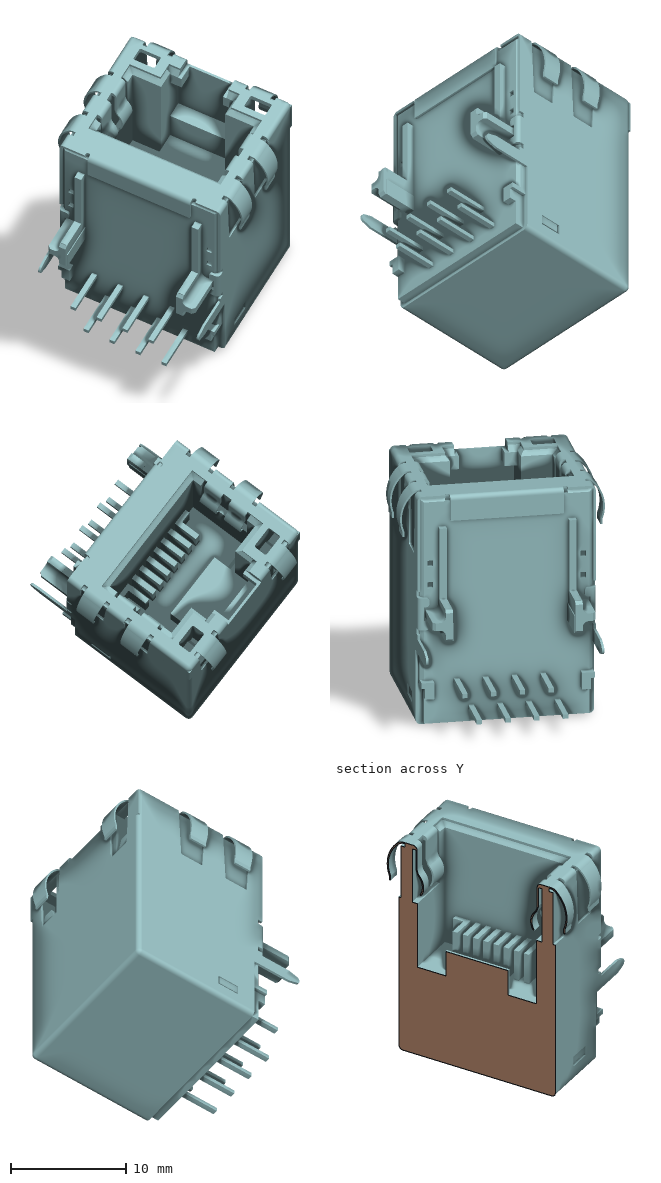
import cadquery as cq
import math


SHELL_HALF_WIDTH = 7.875
SHELL_DEPTH = 13.4
SHELL_HEIGHT = 21.35
SHELL_BEND = 0.43
SHEET = 0.22
PLATE = 0.25
CAVITY_BACK_Y = SHELL_DEPTH - SHEET
HOUSING_HALF_WIDTH = SHELL_HALF_WIDTH - SHEET
HOUSING_FACE_HALF_WIDTH = 7.33
HOUSING_BOTTOM_Z = 0.33
EDGE_CHAMFER_DEPTH = 0.28
HOUSING_FACE_TOP_Z = SHELL_HEIGHT - PLATE - EDGE_CHAMFER_DEPTH
LOWER_SHELL_FRONT_Y = 0.86
CORNER_TAB_BOTTOM_Z = 17.85
CORNER_TAB_TOP_Z = SHELL_HEIGHT - SHELL_BEND

LEG_BOTTOM_Z = 6.87
LEG_WIDTH = 1.27
LEG_TIP_Y = -4.03
LEG_TAPER_Y = -2.9
LEG_TIP_HALF_WIDTH = 0.4
LEG_TIP_LENGTH = 0.35

FOOT_BOTTOM_Z = 2.8
FOOT_STEP_Z = 3.82
FOOT_TOP_Z = 4.33
FOOT_INNER_X = 6.53
STANDOFF = 0.69

FLAP_HALF_WIDTH = 5.02
FLAP_BOTTOM_Z = 19.05
FLAP_ROOT_Y = 0.5
FLAP_CORNER = 0.1
FLAP_RELIEF_RADIUS = 0.2
FLAP_RELIEF_Y = 0.17

CLIP_CENTER_Z = 10.55
CLIP_HEIGHT = 2.96
CLIP_REACH_X = 6.88
CLIP_NECK_X = 7.34
CLIP_NECK_HEIGHT = 1.3
CLIP_LOBE_RADIUS = 0.25
CLIP_BEND = 0.36
CLIP_RELIEF_HEIGHT = 0.52
CLIP_RELIEF_DEPTH = 0.46

POST_OUTER_X = 6.06
POST_INNER_X = 5.41
POST_TIP_Y = -3.6
POST_CHAMFER = 0.26
RIB_TOP_Z = 18.54
ARM_TIP_X = 7.2
ARM_HALF_HEIGHT = 0.36
ARM_FILLET = 0.5
CRUSH_RIB_HEIGHT = 0.09
CRUSH_RIB_START_Y = -1.95
SIDE_RIB_TOP_Z = 10.7
SIDE_RIB_HEIGHT = 0.07

PIN_PITCH = 2.54
PIN_WIDTH = 0.48
PIN_THICKNESS = 0.4
PIN_TIP_Y = LEG_TIP_Y
PIN_ROW_UPPER_Z = 4.17
PIN_ROW_LOWER_Z = 1.66
PINS_PER_ROW = 4

FACE_HOLE_X = 6.77
FACE_HOLE_Z = (13.13, 15.12)
FACE_HOLE_WIDTH = 0.5
FACE_HOLE_HEIGHT = 0.56
FACE_HOLE_DEPTH = 0.5

WINDOW_FRONT_Y = 2.64
WINDOW_BACK_Y = 4.74
WINDOW_BOTTOM_Z = 1.44
WINDOW_TOP_Z = 2.43
WINDOW_GAP = 0.2
LATCH_RECESS = 0.08

OPENING_HALF_WIDTH = 6.48
OPENING_FRONT_Y = 2.71
OPENING_BACK_Y = 10.46
CAVITY_HALF_WIDTH = 5.95
CAVITY_FRONT_Y = 3.2
CAVITY_WALL_Y = 9.96
CAVITY_FLOOR_Z = 9.0
LEAD_IN_TOP_Z = SHELL_HEIGHT - PLATE
LEAD_IN_DEPTH = 0.36
SLOT_OPENING_HALF_WIDTH = 3.46
SLOT_OPENING_BACK_Y = 12.07
SLOT_HALF_WIDTH = 3.14
NOTCH_OPENING_HALF_WIDTH = 2.37
NOTCH_HALF_WIDTH = 2.03
NOTCH_SILL_Z = 20.53
LIP_FRONT_Y = 11.65
LIP_BOTTOM_Z = 19.3
LIP_LEAD_IN_DEPTH = 0.55
BACK_BLOCK_TOP_Z = 14.35
LATCH_BLOCK_FRONT_Y = 7.7
LATCH_BLOCK_TOP_Z = 11.5
LEDGE_FRONT_Y = 9.03
LEDGE_TOP_FRONT_Y = 9.37
LEDGE_TOP_Z = 11.0

CONTACT_COUNT = 8
CONTACT_PITCH = 1.025
CONTACT_WIDTH = 0.49
CONTACT_BACK_Y = 5.5
CONTACT_TOP_Z = 12.0
END_RIB_INNER_X = 3.83
END_RIB_OUTER_X = 4.87
END_RIB_BACK_Y = 3.63

INNER_FINGER_Y = (5.25, 7.9)
INNER_FINGER_WIDTH = 1.75
INNER_FINGER_HANG_X = 6.0
INNER_FINGER_BEND_RADIUS = 0.45
INNER_FINGER_HANG_END_Z = 19.0
INNER_FINGER_BULGE_X = 5.8
INNER_FINGER_CREST_X = 5.35
INNER_FINGER_CREST_Z = 17.4
INNER_FINGER_BULGE_Z = 18.4
INNER_FINGER_TIP_Z = 16.4
INNER_FINGER_TIP_X = 5.6
INNER_FINGER_THICKNESS = 0.18
INNER_POCKET_FRONT_Y = 4.05
INNER_POCKET_BACK_Y = 9.1
INNER_POCKET_FLOOR_Z = 15.5

FINGER_CREST = 1.18
FINGER_RADIUS = 3.33
FINGER_THICKNESS = 0.16
FINGER_CENTER_Z = 18.65
FINGER_BEND_START = -0.46
FINGER_BEND_END = 0.18
FINGER_ARC_END_Z = 17.45
FINGER_TIP_Z = 17.0
FINGER_ROOT_WIDTH = 2.0
FINGER_TIP_WIDTH = 1.62
FINGER_WINDOW_TOP_WIDTH = 2.86
FINGER_WINDOW_BOTTOM_WIDTH = 2.3
FINGER_WINDOW_BOTTOM_Z = 15.6
FINGER_WINDOW_CORNER = 0.15
FINGER_RELIEF_REACH = 0.62
FINGER_RELIEF_DEPTH = 0.45
SIDE_FINGER_Y = (2.82, 7.61)
BACK_FINGER_X = 5.03

LAMP_INNER_X = 4.39
LAMP_OUTER_X = 6.48
LAMP_POCKET_OUTER_X = 7.4
LAMP_FRONT_Y = 11.07
LAMP_BACK_Y = 12.36
LAMP_CORNER = 0.15
LAMP_FLOOR_Z = 16.0
LAMP_LENS_INNER_X = 4.73
LAMP_LENS_OUTER_X = 6.37
LAMP_LENS_TOP_Z = 17.0
LAMP_LENS_SLOPE = 0.38


def box(x0, x1, y0, y1, z0, z1):
    """Axis-aligned box between two opposite corners."""
    return cq.Workplane("XY").box(x1 - x0, y1 - y0, z1 - z0, centered=False).translate((x0, y0, z0))


def both_sides(feature):
    """The feature together with its mirror image about X = 0."""
    return feature.union(feature.mirror("YZ"))


def prism_along_x(points, x0, x1):
    """Prism from (Y, Z) points."""
    return cq.Workplane("YZ", origin=(x0, 0, 0)).polyline(points).close().extrude(x1 - x0)


def prism_along_z(points, z0, z1):
    """Prism from (X, Y) points."""
    return cq.Workplane("XY", origin=(0, 0, z0)).polyline(points).close().extrude(z1 - z0)


def prism_along_y(points, y0, y1):
    """Prism from (X, Z) points."""
    return cq.Workplane("XZ", origin=(0, y0, 0)).polyline(points).close().extrude(y0 - y1)


def make_shell_block():
    """Outer block with bent edges, square corner tabs at the upper back."""
    block = box(-SHELL_HALF_WIDTH, SHELL_HALF_WIDTH, 0, SHELL_DEPTH, 0, SHELL_HEIGHT)
    block = block.edges("|Y or >Y").fillet(SHELL_BEND)
    corner_tab = box(
        SHELL_HALF_WIDTH - 2 * SHELL_BEND, SHELL_HALF_WIDTH,
        CAVITY_BACK_Y, SHELL_DEPTH,
        CORNER_TAB_BOTTOM_Z, CORNER_TAB_TOP_Z,
    )
    return block.union(both_sides(corner_tab))


def make_front_edge_cuts():
    """Chamfered housing edges inside the shell, and the cut-back lower shell front."""
    side_groove = prism_along_z(
        [
            (HOUSING_FACE_HALF_WIDTH, 0),
            (HOUSING_HALF_WIDTH, 0),
            (HOUSING_HALF_WIDTH, EDGE_CHAMFER_DEPTH),
        ],
        FOOT_TOP_Z, SHELL_HEIGHT - PLATE,
    )
    top_groove = prism_along_x(
        [
            (0, HOUSING_FACE_TOP_Z),
            (0, SHELL_HEIGHT - PLATE),
            (EDGE_CHAMFER_DEPTH, SHELL_HEIGHT - PLATE),
        ],
        -HOUSING_HALF_WIDTH, HOUSING_HALF_WIDTH,
    )
    shell_step = box(HOUSING_HALF_WIDTH, SHELL_HALF_WIDTH, 0, LOWER_SHELL_FRONT_Y, 0, LEG_BOTTOM_Z)
    housing_step = box(HOUSING_FACE_HALF_WIDTH, SHELL_HALF_WIDTH, 0, LOWER_SHELL_FRONT_Y, 0, FOOT_STEP_Z)
    floor_step = box(
        -SHELL_HALF_WIDTH, SHELL_HALF_WIDTH, 0, LOWER_SHELL_FRONT_Y, 0, HOUSING_BOTTOM_Z
    )
    return both_sides(side_groove.union(shell_step).union(housing_step)).union(top_groove).union(floor_step)


def make_feet():
    """Stepped standoff feet at the lower front corners."""
    wide = box(FOOT_INNER_X, HOUSING_HALF_WIDTH, -STANDOFF, LOWER_SHELL_FRONT_Y, FOOT_STEP_Z, FOOT_TOP_Z)
    narrow = box(FOOT_INNER_X, HOUSING_FACE_HALF_WIDTH, -STANDOFF, 0, FOOT_BOTTOM_Z, FOOT_TOP_Z)
    return both_sides(wide.union(narrow))


def make_shell_legs():
    """Flat legs with a tapered round tip, in the plane of the shell sides."""
    middle_z = LEG_BOTTOM_Z + LEG_WIDTH / 2
    top_z = LEG_BOTTOM_Z + LEG_WIDTH
    shoulder_y = LEG_TIP_Y + LEG_TIP_LENGTH
    leg = (
        cq.Workplane("YZ", origin=(HOUSING_HALF_WIDTH, 0, 0))
        .moveTo(LOWER_SHELL_FRONT_Y, LEG_BOTTOM_Z)
        .lineTo(LEG_TAPER_Y, LEG_BOTTOM_Z)
        .lineTo(shoulder_y, middle_z - LEG_TIP_HALF_WIDTH)
        .threePointArc((LEG_TIP_Y, middle_z), (shoulder_y, middle_z + LEG_TIP_HALF_WIDTH))
        .lineTo(LEG_TAPER_Y, top_z)
        .lineTo(LOWER_SHELL_FRONT_Y, top_z)
        .close()
        .extrude(SHEET)
    )
    return both_sides(leg)


def add_front_flap(body):
    """Top plate bent down over the housing face, with round bend reliefs."""
    seat = box(
        -FLAP_HALF_WIDTH, FLAP_HALF_WIDTH, 0, FLAP_ROOT_Y, SHELL_HEIGHT - 2 * SHELL_BEND, SHELL_HEIGHT
    )
    flap = box(-FLAP_HALF_WIDTH, FLAP_HALF_WIDTH, -PLATE, FLAP_ROOT_Y, FLAP_BOTTOM_Z, SHELL_HEIGHT)
    flap = flap.edges("|X and >Z and <Y").fillet(SHELL_BEND)
    flap = flap.edges("|Y and <Z").fillet(FLAP_CORNER)
    relief = (
        cq.Workplane("XY", origin=(FLAP_HALF_WIDTH + FLAP_RELIEF_RADIUS, FLAP_RELIEF_Y, HOUSING_FACE_TOP_Z))
        .circle(FLAP_RELIEF_RADIUS)
        .extrude(SHELL_HEIGHT - HOUSING_FACE_TOP_Z)
    )
    relief = relief.union(
        box(
            FLAP_HALF_WIDTH, FLAP_HALF_WIDTH + 2 * FLAP_RELIEF_RADIUS,
            0, FLAP_RELIEF_Y,
            HOUSING_FACE_TOP_Z, SHELL_HEIGHT,
        )
    )
    return body.cut(seat).union(flap).cut(both_sides(relief))


def add_side_clips(body):
    """Two-lobed clips wrapped from the shell sides onto the housing face."""
    bottom_z = CLIP_CENTER_Z - CLIP_HEIGHT / 2
    top_z = CLIP_CENTER_Z + CLIP_HEIGHT / 2
    face_tab = box(CLIP_REACH_X, CLIP_NECK_X, -PLATE, 0, bottom_z, top_z)
    neck = box(
        CLIP_REACH_X, CLIP_NECK_X, -PLATE, 0,
        CLIP_CENTER_Z - CLIP_NECK_HEIGHT / 2, CLIP_CENTER_Z + CLIP_NECK_HEIGHT / 2,
    )
    face_tab = face_tab.cut(neck).edges("|Y and <X").fillet(CLIP_LOBE_RADIUS)
    bend = box(CLIP_NECK_X, SHELL_HALF_WIDTH, -PLATE, CLIP_RELIEF_DEPTH, bottom_z, top_z)
    bend = bend.edges("|Z and >X and <Y").fillet(CLIP_BEND)
    seat = box(
        HOUSING_HALF_WIDTH, SHELL_HALF_WIDTH, 0, CLIP_RELIEF_DEPTH,
        bottom_z - CLIP_RELIEF_HEIGHT, top_z + CLIP_RELIEF_HEIGHT,
    )
    return body.cut(both_sides(seat)).union(both_sides(face_tab.union(bend)))


def make_posts():
    """T-section board posts, each continued upward by a standoff rib."""
    bottom_z = CLIP_CENTER_Z - CLIP_HEIGHT / 2
    top_z = CLIP_CENTER_Z + CLIP_HEIGHT / 2
    rib = box(POST_INNER_X, POST_OUTER_X, -STANDOFF, 0, top_z, RIB_TOP_Z)
    plate = box(POST_INNER_X, POST_OUTER_X, POST_TIP_Y, 0, bottom_z, top_z)
    plate = plate.edges("|X and <Y").chamfer(POST_CHAMFER)
    arm = box(
        POST_OUTER_X, ARM_TIP_X, POST_TIP_Y, 0,
        CLIP_CENTER_Z - ARM_HALF_HEIGHT, CLIP_CENTER_Z + ARM_HALF_HEIGHT,
    )
    arm = arm.edges("|Z and >X and <Y").chamfer(POST_CHAMFER)
    post = rib.union(plate).union(arm)
    for side in (-1, 1):
        arm_z = CLIP_CENTER_Z + side * ARM_HALF_HEIGHT
        flare_z = arm_z + side * ARM_FILLET
        diagonal = ARM_FILLET * (1 - math.sqrt(0.5))
        flare = (
            cq.Workplane("XZ")
            .moveTo(POST_OUTER_X, arm_z)
            .lineTo(POST_OUTER_X + ARM_FILLET, arm_z)
            .threePointArc((POST_OUTER_X + diagonal, arm_z + side * diagonal), (POST_OUTER_X, flare_z))
            .close()
            .extrude(-POST_TIP_Y)
        )
        post = post.union(flare)
    middle_x = (POST_INNER_X + POST_OUTER_X) / 2
    top_crush_rib = (
        cq.Workplane("XZ", origin=(0, CRUSH_RIB_START_Y, 0))
        .moveTo(POST_INNER_X, top_z)
        .threePointArc((middle_x, top_z + CRUSH_RIB_HEIGHT), (POST_OUTER_X, top_z))
        .close()
        .extrude(CRUSH_RIB_START_Y - POST_TIP_Y - POST_CHAMFER)
    )
    side_crush_rib = box(
        POST_INNER_X - SIDE_RIB_HEIGHT, POST_INNER_X,
        POST_TIP_Y + POST_CHAMFER, 0, bottom_z, SIDE_RIB_TOP_Z,
    )
    return both_sides(post.union(top_crush_rib).union(side_crush_rib))


def make_pins():
    """Two staggered rows of square solder pins."""
    pins = cq.Workplane("XY")
    stagger = PIN_PITCH / 4
    rows = ((PIN_ROW_UPPER_Z, -stagger), (PIN_ROW_LOWER_Z, stagger))
    for row_z, row_shift in rows:
        for index in range(PINS_PER_ROW):
            x = (index - (PINS_PER_ROW - 1) / 2) * PIN_PITCH + row_shift
            pin = box(
                x - PIN_WIDTH / 2, x + PIN_WIDTH / 2,
                PIN_TIP_Y, 0,
                row_z - PIN_THICKNESS / 2, row_z + PIN_THICKNESS / 2,
            )
            pins = pins.add(pin)
    return pins.combine()


def make_face_holes():
    """Small blind square holes beside the ribs."""
    holes = cq.Workplane("XY")
    for z in FACE_HOLE_Z:
        hole = box(
            FACE_HOLE_X - FACE_HOLE_WIDTH / 2, FACE_HOLE_X + FACE_HOLE_WIDTH / 2,
            0, FACE_HOLE_DEPTH,
            z - FACE_HOLE_HEIGHT / 2, z + FACE_HOLE_HEIGHT / 2,
        )
        holes = holes.add(hole)
    return both_sides(holes.combine())


def make_latch_windows():
    """Windows in the shell sides, each nearly filled by a slightly sunken latch."""
    window = box(
        HOUSING_HALF_WIDTH, SHELL_HALF_WIDTH,
        WINDOW_FRONT_Y, WINDOW_BACK_Y, WINDOW_BOTTOM_Z, WINDOW_TOP_Z,
    )
    latch = box(
        HOUSING_HALF_WIDTH, SHELL_HALF_WIDTH - LATCH_RECESS,
        WINDOW_FRONT_Y, WINDOW_BACK_Y - WINDOW_GAP, WINDOW_BOTTOM_Z + WINDOW_GAP, WINDOW_TOP_Z,
    )
    return both_sides(window.cut(latch))


def make_cavity():
    """Stepped plug cavity with sloped lead-in and the latch notch."""
    plate_opening = box(
        -OPENING_HALF_WIDTH, OPENING_HALF_WIDTH,
        OPENING_FRONT_Y, OPENING_BACK_Y, LEAD_IN_TOP_Z, SHELL_HEIGHT,
    )
    lead_in_center_y = (OPENING_FRONT_Y + OPENING_BACK_Y) / 2
    cavity_center_y = (CAVITY_FRONT_Y + CAVITY_WALL_Y) / 2
    lead_in = (
        cq.Workplane("XY", origin=(0, 0, LEAD_IN_TOP_Z - LEAD_IN_DEPTH))
        .center(0, cavity_center_y)
        .rect(2 * CAVITY_HALF_WIDTH, CAVITY_WALL_Y - CAVITY_FRONT_Y)
        .workplane(offset=LEAD_IN_DEPTH)
        .center(0, lead_in_center_y - cavity_center_y)
        .rect(2 * OPENING_HALF_WIDTH, OPENING_BACK_Y - OPENING_FRONT_Y)
        .loft(ruled=True)
    )
    well = box(
        -CAVITY_HALF_WIDTH, CAVITY_HALF_WIDTH,
        CAVITY_FRONT_Y, CAVITY_WALL_Y, CAVITY_FLOOR_Z, SHELL_HEIGHT,
    )
    slot = box(
        -SLOT_HALF_WIDTH, SLOT_HALF_WIDTH, CAVITY_FRONT_Y, LIP_FRONT_Y, CAVITY_FLOOR_Z, SHELL_HEIGHT
    )
    slot_back = box(
        -SLOT_HALF_WIDTH, SLOT_HALF_WIDTH, LIP_FRONT_Y, CAVITY_BACK_Y, BACK_BLOCK_TOP_Z, LIP_BOTTOM_Z
    )
    slot_opening = box(
        -SLOT_OPENING_HALF_WIDTH, SLOT_OPENING_HALF_WIDTH,
        CAVITY_WALL_Y, SLOT_OPENING_BACK_Y, LEAD_IN_TOP_Z, SHELL_HEIGHT,
    )
    slot_lead_in = prism_along_y(
        [
            (-SLOT_HALF_WIDTH, LEAD_IN_TOP_Z - LEAD_IN_DEPTH),
            (SLOT_HALF_WIDTH, LEAD_IN_TOP_Z - LEAD_IN_DEPTH),
            (SLOT_OPENING_HALF_WIDTH, LEAD_IN_TOP_Z),
            (-SLOT_OPENING_HALF_WIDTH, LEAD_IN_TOP_Z),
        ],
        CAVITY_WALL_Y, LIP_FRONT_Y,
    )
    lip_lead_in = prism_along_x(
        [
            (LIP_FRONT_Y, LEAD_IN_TOP_Z - LIP_LEAD_IN_DEPTH),
            (SLOT_OPENING_BACK_Y, LEAD_IN_TOP_Z),
            (LIP_FRONT_Y, LEAD_IN_TOP_Z),
        ],
        -SLOT_OPENING_HALF_WIDTH, SLOT_OPENING_HALF_WIDTH,
    )
    notch = box(
        -NOTCH_HALF_WIDTH, NOTCH_HALF_WIDTH, LIP_FRONT_Y, CAVITY_BACK_Y, BACK_BLOCK_TOP_Z, SHELL_HEIGHT
    )
    notch_opening = box(
        -NOTCH_OPENING_HALF_WIDTH, NOTCH_OPENING_HALF_WIDTH,
        LIP_FRONT_Y, SHELL_DEPTH, NOTCH_SILL_Z, SHELL_HEIGHT,
    )
    slot_parts = (slot, slot_back, slot_opening, slot_lead_in, lip_lead_in, notch, notch_opening)
    cavity = plate_opening.union(lead_in).union(well)
    for part in slot_parts:
        cavity = cavity.union(part)
    return cavity


def make_cavity_details():
    """Latch block, back ledge, end ribs and contacts at the cavity floor."""
    latch_block = box(
        -SLOT_HALF_WIDTH, SLOT_HALF_WIDTH,
        LATCH_BLOCK_FRONT_Y, LIP_FRONT_Y, CAVITY_FLOOR_Z, LATCH_BLOCK_TOP_Z,
    )
    ledge = prism_along_x(
        [
            (CAVITY_WALL_Y, CAVITY_FLOOR_Z),
            (LEDGE_FRONT_Y, CAVITY_FLOOR_Z),
            (LEDGE_FRONT_Y, LEDGE_TOP_Z - (LEDGE_TOP_FRONT_Y - LEDGE_FRONT_Y)),
            (LEDGE_TOP_FRONT_Y, LEDGE_TOP_Z),
            (CAVITY_WALL_Y, LEDGE_TOP_Z),
        ],
        -CAVITY_HALF_WIDTH, CAVITY_HALF_WIDTH,
    )
    end_ribs = both_sides(
        box(END_RIB_INNER_X, END_RIB_OUTER_X, CAVITY_FRONT_Y, END_RIB_BACK_Y, CAVITY_FLOOR_Z, CONTACT_TOP_Z)
    )
    details = latch_block.union(ledge).union(end_ribs)
    for index in range(CONTACT_COUNT):
        x = (index - (CONTACT_COUNT - 1) / 2) * CONTACT_PITCH
        contact = box(
            x - CONTACT_WIDTH / 2, x + CONTACT_WIDTH / 2,
            CAVITY_FRONT_Y, CONTACT_BACK_Y, CAVITY_FLOOR_Z, CONTACT_TOP_Z,
        )
        details = details.union(contact)
    return details


def make_inner_pockets():
    """Pockets in the cavity side walls behind the inner spring fingers."""
    pocket = box(
        CAVITY_HALF_WIDTH, OPENING_HALF_WIDTH,
        INNER_POCKET_FRONT_Y, INNER_POCKET_BACK_Y, INNER_POCKET_FLOOR_Z, SHELL_HEIGHT,
    )
    return both_sides(pocket)


def make_inner_fingers():
    """Spring fingers hanging from the opening edge and bulging into the cavity."""
    back = INNER_FINGER_THICKNESS
    bend_x = INNER_FINGER_HANG_X + INNER_FINGER_BEND_RADIUS
    bend_z = SHELL_HEIGHT - INNER_FINGER_BEND_RADIUS
    fingers = cq.Workplane("XY")
    for y in INNER_FINGER_Y:
        finger = (
            cq.Workplane("XZ", origin=(0, y + INNER_FINGER_WIDTH / 2, 0))
            .moveTo(bend_x + back, SHELL_HEIGHT)
            .lineTo(bend_x, SHELL_HEIGHT)
            .radiusArc((INNER_FINGER_HANG_X, bend_z), -INNER_FINGER_BEND_RADIUS)
            .lineTo(INNER_FINGER_HANG_X, INNER_FINGER_HANG_END_Z)
            .tangentArcPoint((INNER_FINGER_BULGE_X, INNER_FINGER_BULGE_Z), relative=False)
            .threePointArc(
                (INNER_FINGER_CREST_X, INNER_FINGER_CREST_Z), (INNER_FINGER_TIP_X, INNER_FINGER_TIP_Z)
            )
            .lineTo(INNER_FINGER_TIP_X + back, INNER_FINGER_TIP_Z)
            .threePointArc(
                (INNER_FINGER_CREST_X + back, INNER_FINGER_CREST_Z),
                (INNER_FINGER_BULGE_X + back, INNER_FINGER_BULGE_Z),
            )
            .lineTo(INNER_FINGER_HANG_X + back, INNER_FINGER_HANG_END_Z)
            .lineTo(INNER_FINGER_HANG_X + back, bend_z)
            .lineTo(bend_x + back, bend_z)
            .close()
            .extrude(INNER_FINGER_WIDTH)
        )
        fingers = fingers.add(finger)
    return both_sides(fingers.combine())


def make_outer_finger():
    """Curved spring finger on a wall at X = 0 facing +X, centred on Y = 0."""
    center_x = FINGER_CREST - FINGER_RADIUS
    inner_radius = FINGER_RADIUS - FINGER_THICKNESS

    def arc_x(radius, z):
        return center_x + math.sqrt(radius**2 - (z - FINGER_CENTER_Z) ** 2)

    def arc_z(radius, x):
        return FINGER_CENTER_Z + math.sqrt(radius**2 - (x - center_x) ** 2)

    plate_bottom_z = SHELL_HEIGHT - FINGER_THICKNESS
    root_x = -FINGER_RELIEF_REACH
    inner_bend_end_x = FINGER_BEND_END - FINGER_THICKNESS * math.sqrt(0.5)
    outer_end_x = arc_x(FINGER_RADIUS, FINGER_ARC_END_Z)
    inner_end_x = arc_x(inner_radius, FINGER_ARC_END_Z)
    profile = (
        cq.Workplane("XZ", origin=(0, FINGER_ROOT_WIDTH / 2, 0))
        .moveTo(root_x, SHELL_HEIGHT)
        .lineTo(FINGER_BEND_START, SHELL_HEIGHT)
        .tangentArcPoint((FINGER_BEND_END, arc_z(FINGER_RADIUS, FINGER_BEND_END)), relative=False)
        .threePointArc((FINGER_CREST, FINGER_CENTER_Z), (outer_end_x, FINGER_ARC_END_Z))
        .lineTo(outer_end_x, FINGER_TIP_Z)
        .lineTo(inner_end_x, FINGER_TIP_Z)
        .lineTo(inner_end_x, FINGER_ARC_END_Z)
        .threePointArc(
            (center_x + inner_radius, FINGER_CENTER_Z),
            (inner_bend_end_x, arc_z(inner_radius, inner_bend_end_x)),
        )
        .tangentArcPoint((FINGER_BEND_START, plate_bottom_z), relative=False)
        .lineTo(root_x, plate_bottom_z)
        .close()
        .extrude(FINGER_ROOT_WIDTH)
    )
    taper = prism_along_x(
        [
            (-FINGER_TIP_WIDTH / 2, FINGER_TIP_Z),
            (FINGER_TIP_WIDTH / 2, FINGER_TIP_Z),
            (FINGER_ROOT_WIDTH / 2, SHELL_HEIGHT),
            (-FINGER_ROOT_WIDTH / 2, SHELL_HEIGHT),
        ],
        -FINGER_RADIUS, FINGER_RADIUS,
    )
    return profile.intersect(taper)


def make_finger_window(depth):
    """Tapered window around an outer finger, cut inward from a wall at X = 0 facing +X."""
    window = prism_along_x(
        [
            (-FINGER_WINDOW_BOTTOM_WIDTH / 2, FINGER_WINDOW_BOTTOM_Z),
            (FINGER_WINDOW_BOTTOM_WIDTH / 2, FINGER_WINDOW_BOTTOM_Z),
            (FINGER_WINDOW_TOP_WIDTH / 2, SHELL_HEIGHT),
            (-FINGER_WINDOW_TOP_WIDTH / 2, SHELL_HEIGHT),
        ],
        -depth, 0,
    )
    window = window.edges("|X and <Z").fillet(FINGER_WINDOW_CORNER)
    top_relief = box(
        -FINGER_RELIEF_REACH, 0,
        -FINGER_WINDOW_TOP_WIDTH / 2, FINGER_WINDOW_TOP_WIDTH / 2,
        SHELL_HEIGHT - FINGER_RELIEF_DEPTH, SHELL_HEIGHT,
    )
    return window.union(top_relief)


def on_walls(feature):
    """Copies of a wall feature at every outer finger place on the sides and the back."""
    copies = cq.Workplane("XY")
    for y in SIDE_FINGER_Y:
        copies = copies.add(both_sides(feature.translate((SHELL_HALF_WIDTH, y, 0))))
    back = feature.rotate((0, 0, 0), (0, 0, 1), 90).translate((BACK_FINGER_X, SHELL_DEPTH, 0))
    copies = copies.add(both_sides(back))
    return copies.combine()


def make_lamp_pockets():
    """Indicator windows and the pockets below them, open to the back wall windows."""
    window = box(
        LAMP_INNER_X, LAMP_OUTER_X, LAMP_FRONT_Y, LAMP_BACK_Y, LAMP_FLOOR_Z, SHELL_HEIGHT
    )
    window = window.edges("|Z").fillet(LAMP_CORNER)
    back_pocket = box(
        LAMP_INNER_X, LAMP_POCKET_OUTER_X,
        LAMP_FRONT_Y, CAVITY_BACK_Y, LAMP_FLOOR_Z, SHELL_HEIGHT - 2 * PLATE,
    )
    lens = prism_along_y(
        [
            (LAMP_LENS_INNER_X, LAMP_FLOOR_Z),
            (LAMP_LENS_OUTER_X, LAMP_FLOOR_Z),
            (LAMP_LENS_OUTER_X - LAMP_LENS_SLOPE, LAMP_LENS_TOP_Z),
            (LAMP_LENS_INNER_X + LAMP_LENS_SLOPE, LAMP_LENS_TOP_Z),
        ],
        LAMP_FRONT_Y, CAVITY_BACK_Y,
    )
    return both_sides(window.union(back_pocket).cut(lens))


body = make_shell_block()
body = body.cut(make_front_edge_cuts())
body = add_front_flap(body)
body = add_side_clips(body)
body = body.cut(make_face_holes()).cut(make_latch_windows())
body = body.cut(make_cavity()).union(make_cavity_details())
body = body.cut(make_inner_pockets()).union(make_inner_fingers())
body = body.cut(make_lamp_pockets())
body = body.cut(on_walls(make_finger_window(SHEET))).union(on_walls(make_outer_finger()))
body = body.union(make_shell_legs()).union(make_feet()).union(make_posts()).union(make_pins())
result = body